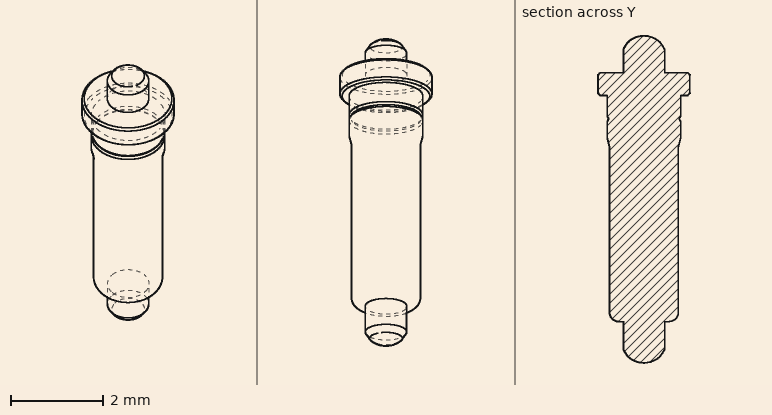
import cadquery as cq
import math

flange_radius = 1.0
collar_radius = 0.8
barrel_radius = 0.75
pin_radius = 0.45
tip_edge_radius = 0.355
groove_radius = 0.765

total_length = 7.09
tip_height = 0.29
dome_height = 0.14
barrel_bottom = 0.89
flange_top = 6.29
flange_thickness = 0.495
collar_bottom = 4.88
collar_taper_height = 0.19
groove_center = 5.29

flange_chamfer = 0.05
groove_half_width = 0.06
barrel_fillet = 0.21

flange_bottom = flange_top - flange_thickness


def cylinder(radius, bottom, top):
    """Solid cylinder on the Z axis between two heights."""
    return cq.Workplane("XY").workplane(offset=bottom).circle(radius).extrude(top - bottom)


def make_pin():
    """Full-length pin with a cone and a shallow dome at each end."""
    dome_radius = (tip_edge_radius**2 + dome_height**2) / (2 * dome_height)
    half_angle = math.asin(tip_edge_radius / dome_radius) / 2
    arc_mid_x = dome_radius * math.sin(half_angle)
    arc_mid_depth = dome_radius * (1 - math.cos(half_angle))
    profile = (
        cq.Workplane("XZ")
        .moveTo(0, 0)
        .threePointArc((arc_mid_x, arc_mid_depth), (tip_edge_radius, dome_height))
        .lineTo(pin_radius, tip_height)
        .lineTo(pin_radius, total_length - tip_height)
        .lineTo(tip_edge_radius, total_length - dome_height)
        .threePointArc((arc_mid_x, total_length - arc_mid_depth), (0, total_length))
        .close()
    )
    return profile.revolve(360, (0, 0, 0), (0, 1, 0))


def make_barrel():
    """Long barrel with a rounded lower edge."""
    return cylinder(barrel_radius, barrel_bottom, flange_top).faces("<Z").edges().fillet(barrel_fillet)


def make_collar():
    """Press-fit collar with a lead-in taper and a V groove."""
    profile = (
        cq.Workplane("XZ")
        .moveTo(0, collar_bottom - collar_taper_height)
        .lineTo(barrel_radius, collar_bottom - collar_taper_height)
        .lineTo(collar_radius, collar_bottom)
        .lineTo(collar_radius, groove_center - groove_half_width)
        .lineTo(groove_radius, groove_center)
        .lineTo(collar_radius, groove_center + groove_half_width)
        .lineTo(collar_radius, flange_top)
        .lineTo(0, flange_top)
        .close()
    )
    return profile.revolve(360, (0, 0, 0), (0, 1, 0))


def make_flange():
    """Stop flange with both rims chamfered."""
    return cylinder(flange_radius, flange_bottom, flange_top).edges().chamfer(flange_chamfer)


result = make_pin().union(make_barrel()).union(make_collar()).union(make_flange())